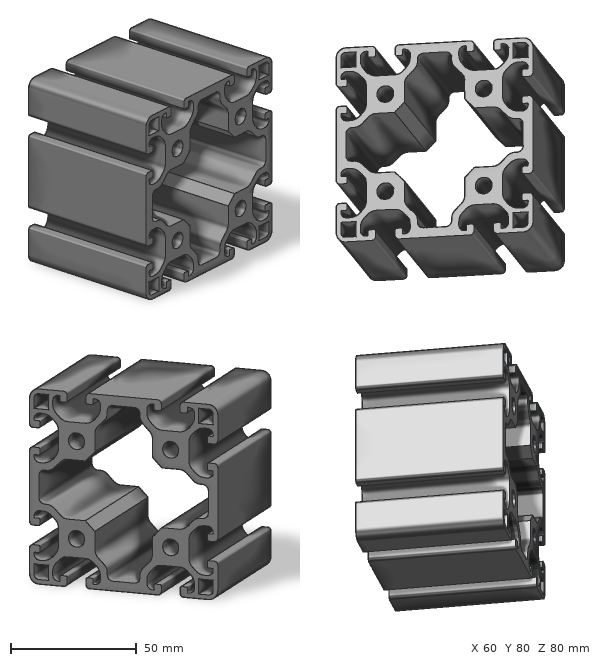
import cadquery as cq
import math

side = 80.0
length = 60.0
half_side = side / 2
corner_radius = 4.0

module = side / 2
core_offset = module / 2
core_half = 7.7
bore_diameter = 6.8

mouth_half = 4.0
lip_depth = 4.4
lip_end_radius = 1.5
lip_back_radius = 0.6
hook_half = 7.0
slot_bottom = core_offset - core_half
slot_half = 10.2
hook_depth = 1.9
hook_radius = 2.6
hook_corner_radius = 0.5
flank_radius = 5.7
floor_radius = 5.1
flank_meet = 5.7
flank_top = slot_bottom - (slot_half - flank_meet)

corner_wall = 1.9
hollow_side = 6.2
hollow_radius = corner_radius - corner_wall

core_inner_half = 7.8
outer_wall = 4.0
web_half_gap = 7.0
web_run = 5.2
core_chamfer = 4.0
cavity_corner_radius = 2.5
web_bend_radius = 4.6

position_tolerance = 0.01


def along_x():
    """Cross-section plane at the X = -length/2 end, with local axes Y and Z."""
    return cq.Workplane("YZ", origin=(-length / 2, 0, 0))


def four_times(shape):
    """The shape together with its quarter-turn copies about the X axis."""
    copies = shape
    for turn in (90, 180, 270):
        copies = copies.union(shape.rotate((0, 0, 0), (1, 0, 0), turn))
    return copies


def same_place(first, second):
    """Whether two positions agree within the tolerance."""
    return math.isclose(first, second, abs_tol=position_tolerance)


def slot_edges(shape, center, offset, depth):
    """Pair of edges along X at +-offset from a slot's centre, depth below the +Z side."""
    def matches(edge):
        middle = edge.Center()
        return same_place(abs(middle.y - center), offset) and same_place(half_side - middle.z, depth)

    return shape.edges("|X").filter(matches)


def lengthwise_edges(shape, wanted):
    """Edges parallel to X whose distances from the two mid-planes satisfy wanted(near, far)."""
    def matches(edge):
        middle = edge.Center()
        return wanted(*sorted((abs(middle.y), abs(middle.z))))

    return shape.edges("|X").filter(matches)


def slot_cutter(center):
    """T-slot open on the +Z side, centred at Y = center, with 45 degree flanks down to its floor."""
    half_outline = [
        (mouth_half, 0),
        (mouth_half, lip_depth),
        (hook_half, lip_depth),
        (hook_half, hook_depth),
        (slot_half, hook_depth),
        (slot_half, flank_top),
        (flank_meet, slot_bottom),
    ]
    roundings = [
        (mouth_half, lip_depth, lip_back_radius),
        (hook_half, lip_depth, hook_corner_radius),
        (hook_half, hook_depth, hook_corner_radius),
        (slot_half, hook_depth, hook_radius),
        (slot_half, flank_top, flank_radius),
        (flank_meet, slot_bottom, floor_radius),
    ]
    outline = [(center + offset, half_side - depth) for offset, depth in half_outline]
    outline += [(center - offset, half_side - depth) for offset, depth in reversed(half_outline)]
    slot = along_x().polyline(outline).close().extrude(length)
    for offset, depth, radius in roundings:
        slot = slot_edges(slot, center, offset, depth).fillet(radius)
    return slot


def cavity_cutter():
    """Central cavity: pockets behind the four walls, joined between the chamfered cores."""
    wall = half_side - outer_wall
    core_face = core_offset - core_inner_half
    web_outer = wall - web_run
    web_inner = web_outer - (core_face - web_half_gap)
    chamfer_start = core_face + core_chamfer
    quadrant = [
        (wall, web_half_gap),
        (web_outer, web_half_gap),
        (web_inner, core_face),
        (chamfer_start, core_face),
        (core_face, chamfer_start),
        (core_face, web_inner),
        (web_half_gap, web_outer),
        (web_half_gap, wall),
    ]
    outline = []
    for _ in range(4):
        outline += quadrant
        quadrant = [(-z, y) for y, z in quadrant]
    cavity = along_x().polyline(outline).close().extrude(length)
    bends = lengthwise_edges(cavity, lambda near, far: core_offset < far < wall - web_run / 2)
    cavity = bends.fillet(web_bend_radius)
    corners = lengthwise_edges(cavity, lambda near, far: same_place(far, wall))
    return corners.fillet(cavity_corner_radius)


def hollow_cutter():
    """Square hollow in the +Y +Z corner, rounded towards the outer corner."""
    middle = half_side - corner_wall - hollow_side / 2
    return (
        along_x()
        .center(middle, middle)
        .rect(hollow_side, hollow_side)
        .extrude(length)
        .edges("|X and >(0, 1, 1)")
        .fillet(hollow_radius)
    )


def at_mouth(near, far):
    """Whether an edge is where a slot mouth meets the outer surface."""
    return same_place(abs(near - core_offset), mouth_half) and same_place(far, half_side)


profile = along_x().rect(side, side).extrude(length).edges("|X").fillet(corner_radius)

for slot_center in (-core_offset, core_offset):
    profile = profile.cut(four_times(slot_cutter(slot_center)))

profile = profile.cut(cavity_cutter())
profile = profile.cut(four_times(hollow_cutter()))
bore = along_x().center(core_offset, core_offset).circle(bore_diameter / 2).extrude(length)
profile = profile.cut(four_times(bore))

result = lengthwise_edges(profile, at_mouth).fillet(lip_end_radius)